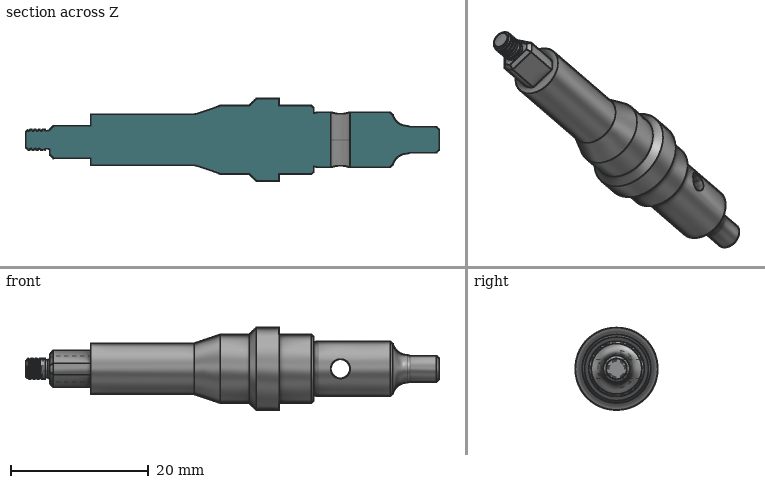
import cadquery as cq
import math

total_length = 60.0
thread_end = 2.4
relief_start = 2.8
relief_end = 3.2
drive_start = 3.5
shank_start = 9.4
cone_start = 24.5
cone_end = 28.2
collar_bevel_start = 32.4
collar_start = 33.5
collar_end = 36.8
shoulder_end = 41.8
relief_cone_end = 42.35
journal_end = 53.2
fillet_end = 55.3
spigot_start = 55.75

thread_radius = 1.5
thread_root_radius = 1.25
relief_radius = 1.3
relief_flare_radius = 1.45
drive_radius = 2.75
drive_flat_distance = 2.05
shank_radius = 3.7
shoulder_radius = 5.0
collar_radius = 6.0
journal_relief_radius = 3.9
journal_radius = 4.0
fillet_radius = 2.1
neck_radius = 2.05
spigot_radius = 1.9

thread_chamfer = 0.35
drive_chamfer = 0.55
shoulder_chamfer = 0.35
journal_chamfer = 0.35
spigot_chamfer = 0.4

thread_pitch = 0.6
thread_groove_width = 0.4
tool_overlap = 0.1
hole_position = 45.65
hole_diameter = 2.75


def turned_body():
    """Shank, collar, journal and spigot as one revolved profile."""
    face_radius = journal_radius - journal_chamfer
    fillet_center_radius = neck_radius + fillet_radius

    def fillet_point(angle):
        return (fillet_end - fillet_radius * math.sin(angle),
                fillet_center_radius - fillet_radius * math.cos(angle))

    sweep_angle = math.acos((fillet_center_radius - face_radius) / fillet_radius)
    profile = (
        cq.Workplane("XZ")
        .moveTo(shank_start, 0)
        .lineTo(shank_start, shank_radius)
        .lineTo(cone_start, shank_radius)
        .lineTo(cone_end, shoulder_radius)
        .lineTo(collar_bevel_start, shoulder_radius)
        .lineTo(collar_start, collar_radius)
        .lineTo(collar_end, collar_radius)
        .lineTo(collar_end, shoulder_radius)
        .lineTo(shoulder_end - shoulder_chamfer, shoulder_radius)
        .lineTo(shoulder_end, shoulder_radius - shoulder_chamfer)
        .lineTo(shoulder_end, journal_relief_radius)
        .lineTo(relief_cone_end, journal_radius)
        .lineTo(journal_end - journal_chamfer, journal_radius)
        .lineTo(journal_end, face_radius)
        .lineTo(*fillet_point(sweep_angle))
        .threePointArc(fillet_point(sweep_angle / 2), fillet_point(0))
        .lineTo(spigot_start, spigot_radius)
        .lineTo(total_length - spigot_chamfer, spigot_radius)
        .lineTo(total_length, spigot_radius - spigot_chamfer)
        .lineTo(total_length, 0)
        .close()
    )
    return profile.revolve(360, (0, 0, 0), (1, 0, 0))


def three_sided_drive():
    """Round bar with three flats, one of them facing +Y, and a chamfered end."""
    length = shank_start - drive_start
    bar = (
        cq.Workplane("YZ", origin=(drive_start, 0, 0))
        .circle(drive_radius)
        .extrude(length)
    )
    triangle_diameter = 4 * drive_flat_distance
    prism = (
        cq.Workplane("YZ", origin=(drive_start, 0, 0))
        .polygon(3, triangle_diameter)
        .extrude(length)
        .rotate((0, 0, 0), (1, 0, 0), 180)
    )
    return bar.intersect(prism).faces("<X").chamfer(drive_chamfer)


def threaded_stud():
    """Stud with a helical V groove and a narrow relief before the drive."""
    stud = (
        cq.Workplane("XY")
        .lineTo(0, thread_radius - thread_chamfer)
        .lineTo(thread_chamfer, thread_radius)
        .lineTo(relief_start, thread_radius)
        .lineTo(relief_start, relief_radius)
        .lineTo(relief_end, relief_radius)
        .lineTo(drive_start, relief_flare_radius)
        .lineTo(drive_start, 0)
        .close()
        .revolve(360, (0, 0, 0), (1, 0, 0))
    )
    helix = cq.Wire.makeHelix(
        thread_pitch, thread_end + thread_pitch, thread_root_radius,
        center=cq.Vector(-thread_pitch, 0, 0), dir=cq.Vector(1, 0, 0),
    )
    start = helix.startPoint()
    radial = cq.Vector(0, start.y, start.z).normalized()
    groove_depth = thread_radius - thread_root_radius
    cutter_height = groove_depth + tool_overlap
    cutter_half_width = thread_groove_width / 2 * cutter_height / groove_depth
    section = cq.Plane(origin=start, xDir=(1, 0, 0), normal=cq.Vector(1, 0, 0).cross(radial))
    cutter = (
        cq.Workplane(section)
        .polyline([(0, 0), (cutter_half_width, cutter_height), (-cutter_half_width, cutter_height)])
        .close()
        .sweep(cq.Workplane(helix), isFrenet=True)
    )
    return stud.cut(cutter)


def cross_hole():
    """Cutter for the hole that passes through the journal along Y."""
    return (
        cq.Workplane("XZ", origin=(hole_position, 0, 0))
        .circle(hole_diameter / 2)
        .extrude(collar_radius, both=True)
    )


body = turned_body().cut(cross_hole())
result = body.union(three_sided_drive()).union(threaded_stud())